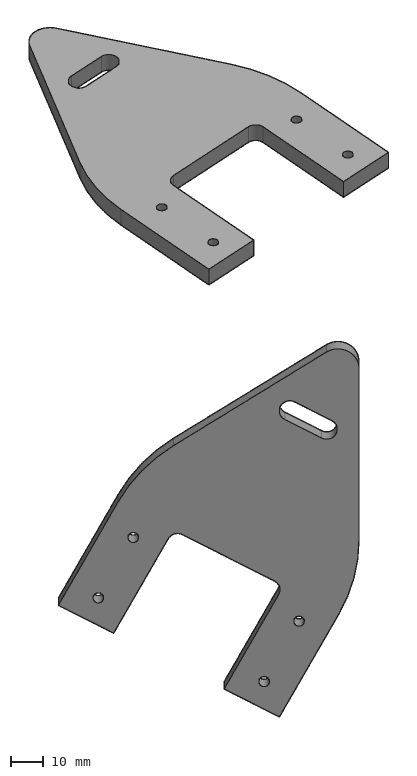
import cadquery as cq
import math

length = 114.3
width = 76.2
thickness = 6.4
half_width = width / 2

nose_radius = 6.4
shoulder_radius = 50.7
shoulder_end_x = 76.2

notch_depth = length - shoulder_end_x
notch_width = 38.0
notch_corner_radius = 3.2

slot_x = 25.4
slot_length = 19.1
slot_width = 6.4

hole_diameter = 3.2
hole_end_offsets = (7.9, 30.2)
hole_spacing_y = 57.1


def point_on_arc(center, radius, angle):
    """Point on an arc whose normal is turned by angle from +Y toward -X."""
    return (center[0] - radius * math.sin(angle), center[1] + radius * math.cos(angle))


def mirrored(point):
    return (point[0], -point[1])


def make_plate():
    nose_center = (nose_radius, 0)
    shoulder_center = (shoulder_end_x, half_width - shoulder_radius)

    dx = shoulder_center[0] - nose_center[0]
    dy = nose_center[1] - shoulder_center[1]
    radius_difference = shoulder_radius - nose_radius
    flank_angle = math.asin(radius_difference / math.hypot(dx, dy)) - math.atan2(dy, dx)

    flank_front = point_on_arc(nose_center, nose_radius, flank_angle)
    flank_back = point_on_arc(shoulder_center, shoulder_radius, flank_angle)
    shoulder_middle = point_on_arc(shoulder_center, shoulder_radius, flank_angle / 2)
    shoulder_end = (shoulder_end_x, half_width)
    arm_corner = (length, half_width)

    return (
        cq.Workplane("XY")
        .moveTo(*arm_corner)
        .lineTo(*shoulder_end)
        .threePointArc(shoulder_middle, flank_back)
        .lineTo(*flank_front)
        .threePointArc((0, 0), mirrored(flank_front))
        .lineTo(*mirrored(flank_back))
        .threePointArc(mirrored(shoulder_middle), mirrored(shoulder_end))
        .lineTo(*mirrored(arm_corner))
        .close()
        .extrude(thickness)
    )


def make_notch():
    return (
        cq.Workplane("XY")
        .center(length, 0)
        .rect(2 * notch_depth, notch_width)
        .extrude(thickness)
        .edges("|Z and <X")
        .fillet(notch_corner_radius)
    )


def make_slot():
    return cq.Workplane("XY").center(slot_x, 0).slot2D(slot_length, slot_width, 90).extrude(thickness)


def make_holes():
    centers = [
        (length - offset, side * hole_spacing_y / 2)
        for offset in hole_end_offsets
        for side in (-1, 1)
    ]
    return cq.Workplane("XY").pushPoints(centers).circle(hole_diameter / 2).extrude(thickness)


result = make_plate().cut(make_notch()).cut(make_slot()).cut(make_holes())